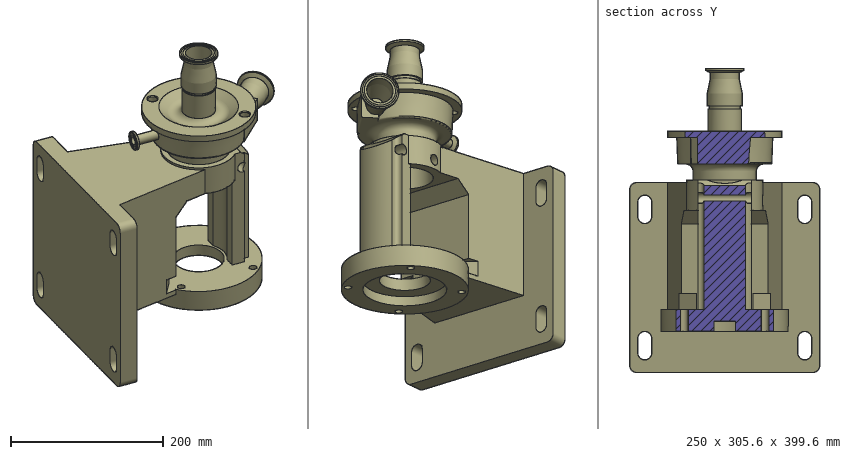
import cadquery as cq
import math

PLATE_SIZE = 250.0
PLATE_THICKNESS = 25.0
PLATE_BACK_Y = -180.0
PLATE_FRONT_Y = PLATE_BACK_Y + PLATE_THICKNESS
PLATE_CORNER_RADIUS = 10.0
SLOT_WIDTH = 18.0
SLOT_LENGTH = 37.0
SLOT_HALF_SPAN_X = 105.0
SLOT_HALF_SPAN_Z = 89.5

RING_RADIUS = 50.0
RING_BORE_RADIUS = 37.3
RING_BOTTOM_Z = 213.0
RING_RISE = 3.0
RING_TOP_Z = PLATE_SIZE + RING_RISE
RING_SIDE_HOLE_DIAMETER = 14.5
RING_SIDE_HOLE_Z = 226.0

WEB_HALF_WIDTH_AT_PLATE = 75.0
WEB_HALF_WIDTH_AT_RING = 47.8
WEB_START_Y = -15.3
WEB_FRONT_Y = -62.7
WEB_BOTTOM_Z = 76.5
WEB_CHAMFER = 18.0

BASE_RADIUS = 83.5
BASE_BORE_RADIUS = 33.5
BASE_BORE_DEPTH = 16.0
BASE_SPIGOT_RADIUS = 55.0
BASE_BOTTOM_Z = 54.3
BASE_THICKNESS = 29.0
BASE_TOP_Z = BASE_BOTTOM_Z + BASE_THICKNESS
BASE_HOLE_DIAMETER = 10.0
BASE_HOLE_CIRCLE_RADIUS = 75.0
BASE_HOLE_COUNT = 4
BASE_HOLE_START_ANGLE = 45.0

NOTCH_HEIGHT = 21.0
NOTCH_BACK_Y = -78.7
NOTCH_WALL_ANGLE = 35.0

COLUMN_HALF_WIDTH = 35.0
COLUMN_FRONT_Y = 31.6
COLUMN_BACK_RADIUS = 65.6
COLUMN_REBATE_X = 27.0
COLUMN_REBATE_Y = 49.4
COLUMN_REBATE_RADIUS = 5.5
COLUMN_SLOPE_START_Y = 44.3
COLUMN_SLOPE_DROP = 16.5
COLUMN_HOLE_DIAMETER = 14.5
COLUMN_HOLE_Y = 47.0
COLUMN_HOLE_Z = 229.5

NECK_RADIUS = 41.7
COVE_RADIUS = 9.5
COVE_BOTTOM_Z = 264.3
CASING_BOTTOM_Z = COVE_BOTTOM_Z + COVE_RADIUS
CASING_BOTTOM_RADIUS = 62.0
CASING_TOP_RADIUS = 63.2
CASING_EDGE_RADIUS = 2.0
COVER_RADIUS = 75.0
COVER_BOTTOM_Z = 308.6
COVER_TOP_Z = 317.3
DISH_RIM_RADIUS = 52.3
DISH_FLOOR_RADIUS = 40.3
DISH_DEPTH = 8.7
DISH_FOOT_RISE = 3.4
COVER_HOLE_DIAMETER = 12.6
COVER_HOLE_CHAMFER = 1.2
COVER_HOLE_DEPTH = COVER_TOP_Z - COVER_BOTTOM_Z
COVER_HOLE_OFFSET = 45.0

PORT_Z = 291.0
FERRULE_RADIUS = 25.25
FERRULE_RIM = 2.85
FERRULE_LENGTH = 5.6
PIPE_RADIUS = 19.3
PIPE_BORE_RADIUS = 17.4
SEAL_GROOVE_MEAN_RADIUS = 21.8
SEAL_GROOVE_RADIUS = 1.2

INLET_TOP_Z = 399.6
INLET_RADIUS = 22.1
INLET_SOCKET_RADIUS = 23.3
INLET_GROOVE_RADIUS = 20.5
INLET_GROOVE_BOTTOM_Z = 346.5
INLET_GROOVE_TOP_Z = 350.4
REDUCER_BOTTOM_Z = 366.0
REDUCER_TOP_Z = 385.2

OUTLET_ANGLE = 45.0
OUTLET_OFFSET = 44.4
OUTLET_END = 108.02
OUTLET_CONE_END = 87.0
THROAT_END = 55.5
OUTLET_SMALL_RADIUS = 12.5

DRAIN_END_Y = -96.7
DRAIN_RADIUS = 6.7
DRAIN_BORE_RADIUS = 5.3
DRAIN_FERRULE_RADIUS = 12.7
DRAIN_GROOVE_MEAN_RADIUS = 9.5


def cylinder(radius, bottom, top):
    """Cylinder on the shaft axis between two heights."""
    return cq.Workplane("XY", origin=(0, 0, bottom)).circle(radius).extrude(top - bottom)


def box(x0, x1, y0, y1, z0, z1):
    """Axis-aligned box between the given limits."""
    return cq.Workplane("XY").box(x1 - x0, y1 - y0, z1 - z0, centered=False).translate((x0, y0, z0))


def make_plate():
    center = (0, PLATE_BACK_Y, PLATE_SIZE / 2)
    plate = (
        cq.Workplane("XZ", origin=center)
        .rect(PLATE_SIZE, PLATE_SIZE)
        .extrude(-PLATE_THICKNESS)
        .edges("|Y")
        .fillet(PLATE_CORNER_RADIUS)
    )
    slots = (
        cq.Workplane("XZ", origin=center)
        .rect(2 * SLOT_HALF_SPAN_X, 2 * SLOT_HALF_SPAN_Z, forConstruction=True)
        .vertices()
        .slot2D(SLOT_LENGTH, SLOT_WIDTH, 90)
        .extrude(-PLATE_THICKNESS)
    )
    return plate.cut(slots)


def web_half_width(y):
    """Half width of the tapered web at a given Y."""
    taper = (WEB_HALF_WIDTH_AT_PLATE - WEB_HALF_WIDTH_AT_RING) / (WEB_START_Y - PLATE_FRONT_Y)
    return WEB_HALF_WIDTH_AT_RING + taper * (WEB_START_Y - y)


def make_web():
    plan = (
        cq.Workplane("XY")
        .moveTo(-WEB_HALF_WIDTH_AT_PLATE, PLATE_FRONT_Y)
        .lineTo(-WEB_HALF_WIDTH_AT_RING, WEB_START_Y)
        .lineTo(WEB_HALF_WIDTH_AT_RING, WEB_START_Y)
        .lineTo(WEB_HALF_WIDTH_AT_PLATE, PLATE_FRONT_Y)
        .close()
        .extrude(PLATE_SIZE)
    )
    side = (
        cq.Workplane("YZ")
        .moveTo(PLATE_FRONT_Y, WEB_BOTTOM_Z)
        .lineTo(WEB_FRONT_Y, WEB_BOTTOM_Z)
        .lineTo(WEB_FRONT_Y, RING_BOTTOM_Z - WEB_CHAMFER)
        .lineTo(WEB_FRONT_Y + WEB_CHAMFER, RING_BOTTOM_Z)
        .lineTo(WEB_START_Y, RING_BOTTOM_Z)
        .lineTo(WEB_START_Y, PLATE_SIZE)
        .lineTo(PLATE_FRONT_Y, PLATE_SIZE)
        .close()
        .extrude(WEB_HALF_WIDTH_AT_PLATE, both=True)
    )
    return plan.intersect(side)


def make_web_notch():
    """Wrench clearance over the left base hole beside the web; the right one is its mirror image."""
    outer_x = -web_half_width(NOTCH_BACK_Y)
    inner_x = outer_x + (WEB_FRONT_Y - NOTCH_BACK_Y) / math.tan(math.radians(NOTCH_WALL_ANGLE))
    return (
        cq.Workplane("XY", origin=(0, 0, BASE_TOP_Z))
        .moveTo(outer_x, NOTCH_BACK_Y)
        .lineTo(inner_x, WEB_FRONT_Y)
        .lineTo(outer_x, WEB_FRONT_Y)
        .close()
        .extrude(NOTCH_HEIGHT)
    )


def make_column():
    column = box(
        -COLUMN_HALF_WIDTH, COLUMN_HALF_WIDTH, COLUMN_FRONT_Y, COLUMN_BACK_RADIUS, BASE_TOP_Z, RING_TOP_Z
    )
    column = column.intersect(cylinder(COLUMN_BACK_RADIUS, BASE_TOP_Z, RING_TOP_Z))
    rebate = box(
        COLUMN_REBATE_X, BASE_RADIUS, COLUMN_REBATE_Y, BASE_RADIUS, BASE_TOP_Z, RING_TOP_Z
    )
    rebate = rebate.edges("|Z and <X and <Y").fillet(COLUMN_REBATE_RADIUS)
    slope = (
        cq.Workplane("YZ")
        .moveTo(COLUMN_SLOPE_START_Y, RING_TOP_Z)
        .lineTo(COLUMN_BACK_RADIUS, RING_TOP_Z)
        .lineTo(COLUMN_BACK_RADIUS, RING_TOP_Z - COLUMN_SLOPE_DROP)
        .close()
        .extrude(COLUMN_HALF_WIDTH, both=True)
    )
    return column.cut(rebate).cut(rebate.mirror("YZ")).cut(slope)


def make_column_hole():
    return (
        cq.Workplane("YZ", origin=(0, COLUMN_HOLE_Y, COLUMN_HOLE_Z))
        .circle(COLUMN_HOLE_DIAMETER / 2)
        .extrude(COLUMN_HALF_WIDTH, both=True)
    )


def make_base_ring():
    base = cylinder(BASE_RADIUS, BASE_BOTTOM_Z, BASE_TOP_Z)
    bore = cylinder(BASE_BORE_RADIUS, BASE_BOTTOM_Z, BASE_TOP_Z)
    spigot_recess = cylinder(BASE_SPIGOT_RADIUS, BASE_BOTTOM_Z, BASE_TOP_Z - BASE_BORE_DEPTH)
    return base.cut(bore).cut(spigot_recess)


def make_base_holes():
    return (
        cq.Workplane("XY", origin=(0, 0, BASE_BOTTOM_Z))
        .polarArray(BASE_HOLE_CIRCLE_RADIUS, BASE_HOLE_START_ANGLE, 360, BASE_HOLE_COUNT)
        .circle(BASE_HOLE_DIAMETER / 2)
        .extrude(BASE_THICKNESS)
    )


def make_bracket():
    notch = make_web_notch()
    side_hole = (
        cq.Workplane("YZ", origin=(0, 0, RING_SIDE_HOLE_Z))
        .circle(RING_SIDE_HOLE_DIAMETER / 2)
        .extrude(-RING_RADIUS)
    )
    return (
        make_web()
        .cut(notch)
        .cut(notch.mirror("YZ"))
        .union(cylinder(RING_RADIUS, RING_BOTTOM_Z, RING_TOP_Z))
        .union(make_column())
        .cut(cylinder(RING_BORE_RADIUS, BASE_TOP_Z, PLATE_SIZE))
        .cut(side_hole)
        .cut(make_column_hole())
        .union(make_base_ring())
        .cut(make_base_holes())
        .union(make_plate())
    )


def make_casing_body():
    """Neck, casing and dished cover, revolved about the shaft axis."""
    dish_floor_z = COVER_TOP_Z - DISH_DEPTH
    cove_center_radius = NECK_RADIUS + COVE_RADIUS
    return (
        cq.Workplane("XZ")
        .moveTo(0, PLATE_SIZE)
        .lineTo(NECK_RADIUS, PLATE_SIZE)
        .lineTo(NECK_RADIUS, COVE_BOTTOM_Z)
        .radiusArc((cove_center_radius, CASING_BOTTOM_Z), COVE_RADIUS)
        .lineTo(CASING_BOTTOM_RADIUS - CASING_EDGE_RADIUS, CASING_BOTTOM_Z)
        .radiusArc((CASING_BOTTOM_RADIUS, CASING_BOTTOM_Z + CASING_EDGE_RADIUS), -CASING_EDGE_RADIUS)
        .lineTo(CASING_TOP_RADIUS, COVER_BOTTOM_Z)
        .lineTo(COVER_RADIUS, COVER_BOTTOM_Z)
        .lineTo(COVER_RADIUS, COVER_TOP_Z)
        .lineTo(DISH_RIM_RADIUS, COVER_TOP_Z)
        .lineTo(DISH_FLOOR_RADIUS, dish_floor_z)
        .tangentArcPoint((INLET_RADIUS, dish_floor_z + DISH_FOOT_RISE), relative=False)
        .lineTo(0, dish_floor_z + DISH_FOOT_RISE)
        .close()
        .revolve(360, (0, 0), (0, 1))
    )


def make_cover_holes():
    """Two countersunk holes through the cover plate, on opposite sides of the shaft axis."""
    radius = COVER_HOLE_DIAMETER / 2
    hole = (
        cq.Workplane("XZ")
        .moveTo(0, COVER_TOP_Z)
        .lineTo(radius + COVER_HOLE_CHAMFER, COVER_TOP_Z)
        .lineTo(radius, COVER_TOP_Z - COVER_HOLE_CHAMFER)
        .lineTo(radius, COVER_TOP_Z - COVER_HOLE_DEPTH)
        .lineTo(0, COVER_TOP_Z - COVER_HOLE_DEPTH)
        .close()
        .revolve(360, (0, 0), (0, 1))
    )
    near = hole.translate((-COVER_HOLE_OFFSET, -COVER_HOLE_OFFSET, 0))
    far = hole.translate((COVER_HOLE_OFFSET, COVER_HOLE_OFFSET, 0))
    return near.union(far)


def make_seal_groove(mean_radius, height):
    """Round-bottomed ring groove about the Z axis, for a ferrule face at the given height."""
    ring = cq.Solid.makeTorus(mean_radius, SEAL_GROOVE_RADIUS)
    return cq.Workplane(ring.translate(cq.Vector(0, 0, height)))


def make_inlet():
    foot_z = COVER_TOP_Z - DISH_DEPTH
    return (
        cq.Workplane("XZ")
        .moveTo(0, foot_z)
        .lineTo(INLET_RADIUS, foot_z)
        .lineTo(INLET_RADIUS, INLET_GROOVE_BOTTOM_Z)
        .lineTo(INLET_GROOVE_RADIUS, INLET_GROOVE_BOTTOM_Z)
        .lineTo(INLET_GROOVE_RADIUS, INLET_GROOVE_TOP_Z)
        .lineTo(INLET_SOCKET_RADIUS, INLET_GROOVE_TOP_Z)
        .lineTo(INLET_SOCKET_RADIUS, REDUCER_BOTTOM_Z)
        .lineTo(PIPE_RADIUS, REDUCER_TOP_Z)
        .lineTo(PIPE_RADIUS, INLET_TOP_Z - FERRULE_LENGTH)
        .lineTo(FERRULE_RADIUS, INLET_TOP_Z - FERRULE_RIM)
        .lineTo(FERRULE_RADIUS, INLET_TOP_Z)
        .lineTo(0, INLET_TOP_Z)
        .close()
        .revolve(360, (0, 0), (0, 1))
        .cut(make_seal_groove(SEAL_GROOVE_MEAN_RADIUS, INLET_TOP_Z))
    )


def place_outlet(shape):
    """Turn a shape built about the Z axis so that Z runs along the tangential outlet axis."""
    turned = shape.rotate((0, 0, 0), (1, 0, 0), -90)
    return turned.translate((OUTLET_OFFSET, 0, PORT_Z)).rotate((0, 0, 0), (0, 0, 1), OUTLET_ANGLE)


def make_outlet():
    nozzle = (
        cq.Workplane("XZ")
        .lineTo(OUTLET_SMALL_RADIUS, 0)
        .lineTo(OUTLET_SMALL_RADIUS, THROAT_END)
        .lineTo(PIPE_RADIUS, OUTLET_CONE_END)
        .lineTo(PIPE_RADIUS, OUTLET_END - FERRULE_LENGTH)
        .lineTo(FERRULE_RADIUS, OUTLET_END - FERRULE_RIM)
        .lineTo(FERRULE_RADIUS, OUTLET_END)
        .lineTo(0, OUTLET_END)
        .close()
        .revolve(360, (0, 0), (0, 1))
    )
    return place_outlet(nozzle.cut(make_seal_groove(SEAL_GROOVE_MEAN_RADIUS, OUTLET_END)))


def make_outlet_bore():
    pipe_wall = PIPE_RADIUS - PIPE_BORE_RADIUS
    return place_outlet(
        cq.Workplane("XZ")
        .moveTo(0, THROAT_END)
        .lineTo(OUTLET_SMALL_RADIUS - pipe_wall, THROAT_END)
        .lineTo(PIPE_BORE_RADIUS, OUTLET_CONE_END)
        .lineTo(PIPE_BORE_RADIUS, OUTLET_END)
        .lineTo(0, OUTLET_END)
        .close()
        .revolve(360, (0, 0), (0, 1))
    )


def make_throat():
    """Straight stretch of the casing wall that leads tangentially to the outlet."""
    throat = box(
        DISH_FLOOR_RADIUS, CASING_TOP_RADIUS, 0, THROAT_END, CASING_BOTTOM_Z, COVER_BOTTOM_Z
    )
    throat = throat.edges("|Y and >X and <Z").fillet(CASING_EDGE_RADIUS)
    return throat.rotate((0, 0, 0), (0, 0, 1), OUTLET_ANGLE)


def make_drain():
    reach = -DRAIN_END_Y
    drain = (
        cq.Workplane("XZ")
        .lineTo(DRAIN_RADIUS, 0)
        .lineTo(DRAIN_RADIUS, reach - FERRULE_LENGTH)
        .lineTo(DRAIN_FERRULE_RADIUS, reach - FERRULE_RIM)
        .lineTo(DRAIN_FERRULE_RADIUS, reach)
        .lineTo(0, reach)
        .close()
        .revolve(360, (0, 0), (0, 1))
        .cut(make_seal_groove(DRAIN_GROOVE_MEAN_RADIUS, reach))
    )
    return drain.rotate((0, 0, 0), (1, 0, 0), 90).translate((0, 0, PORT_Z))


def make_drain_bore():
    depth = -CASING_BOTTOM_RADIUS - DRAIN_END_Y
    return (
        cq.Workplane("XZ", origin=(0, DRAIN_END_Y, PORT_Z)).circle(DRAIN_BORE_RADIUS).extrude(-depth)
    )


def make_pump():
    return (
        make_casing_body()
        .union(make_throat())
        .union(make_inlet())
        .union(make_outlet())
        .union(make_drain())
        .cut(cylinder(PIPE_BORE_RADIUS, PORT_Z, INLET_TOP_Z))
        .cut(make_outlet_bore())
        .cut(make_drain_bore())
        .cut(make_cover_holes())
    )


result = make_bracket().union(make_pump())